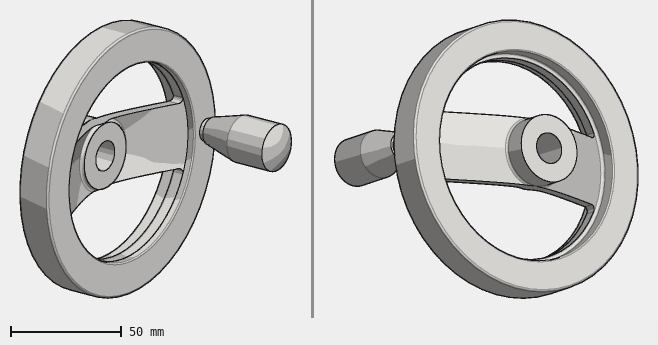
import cadquery as cq
import math

rim_radius = 125 / 2
rim_bore_radius = 96.4 / 2
rear_bore_radius = 92.6 / 2
rim_front = 17.1
rim_back = 33.5
rim_edge_fillet = 0.9
bore_edge_fillet = 0.6

hub_radius = 31.0 / 2
hub_bore_radius = 14.0 / 2
hub_back = 18.3
hub_fillet = 1.3

web_start = 10.7
web_slope = 0.445
web_thickness = 5.4
web_embed = 2.6
web_rim_fillet = 1.2

window_radius = 92.5 / 2
spoke_half_width = 15.6
window_corner_fillet = 1.9

web_rim_x = web_start + web_slope * (rim_bore_radius - hub_radius)
bore_step = web_rim_x + web_thickness / 2

overall_length = 76.0
overall_width = 128.8
grip_radius = 22.0 / 2
handle_y = overall_width - rim_radius - grip_radius
neck_radius = 10.5 / 2
neck_end = 36.2
taper_start_radius = 6.5
taper_end = 53.3
grip_end = 73.2
neck_embed = 2.6


def cylinder(radius, start, end):
    """Solid cylinder along X, centred on the wheel axis."""
    return cq.Workplane("YZ").workplane(offset=start).circle(radius).extrude(end - start)


def revolve_about_x(profile):
    """Revolve a closed (X, radius) profile about the X axis."""
    return profile.close().revolve(360, (0, 0, 0), (1, 0, 0))


def edges_between(start, end, margin):
    """Selector for edges lying wholly between two X positions."""
    return cq.selectors.BoxSelector(
        (start - margin, -rim_radius, -rim_radius),
        (end + margin, rim_radius, rim_radius),
        boundingbox=True,
    )


def make_rim():
    """Rim ring whose bore narrows behind the web."""
    rim = cylinder(rim_radius, rim_front, rim_back)
    rim = rim.faces("<X or >X").edges().fillet(rim_edge_fillet)
    rim = rim.cut(cylinder(rim_bore_radius, rim_front, bore_step))
    rim = rim.cut(cylinder(rear_bore_radius, rim_front, rim_back))
    inner_edge = cq.selectors.RadiusNthSelector(0)
    rim = rim.faces("<X").edges(inner_edge).fillet(bore_edge_fillet)
    return rim.faces(">X").edges(inner_edge).fillet(bore_edge_fillet)


def make_hub_and_web():
    """Hub with a conical web that reaches a little way into the rim."""
    web_end_radius = rim_bore_radius + web_embed
    web_end = web_start + web_slope * (web_end_radius - hub_radius)
    profile = (
        cq.Workplane("XY")
        .lineTo(0, hub_radius)
        .lineTo(web_start, hub_radius)
        .lineTo(web_end, web_end_radius)
        .lineTo(web_end + web_thickness, web_end_radius)
        .lineTo(web_start + web_thickness, hub_radius)
        .lineTo(hub_back, hub_radius)
        .lineTo(hub_back, 0)
    )
    body = revolve_about_x(profile)
    hub_roots = edges_between(web_start, web_start + web_thickness, 0.1)
    return body.edges(hub_roots).fillet(hub_fillet)


def fillet_web_at_rim(wheel):
    """Round the circle where the front of the web meets the rim bore."""
    web_rim_edge = edges_between(web_rim_x, web_rim_x, 0.3)
    return wheel.edges(web_rim_edge).edges("%CIRCLE").fillet(web_rim_fillet)


def make_window(side):
    """Cutter for the circular segment above (side=1) or below (side=-1) the spoke bar."""
    edge_y = math.sqrt(window_radius**2 - spoke_half_width**2)
    edge_z = side * spoke_half_width
    segment = (
        cq.Workplane("YZ")
        .moveTo(-edge_y, edge_z)
        .lineTo(edge_y, edge_z)
        .threePointArc((0, side * window_radius), (-edge_y, edge_z))
        .close()
        .extrude(rim_back)
    )
    return segment.edges("|X").fillet(window_corner_fillet)


def make_handle():
    """Turned crank handle with a neck, a taper, a straight grip and a domed end."""
    profile = (
        cq.Workplane("XY")
        .moveTo(rim_back - neck_embed, 0)
        .lineTo(rim_back - neck_embed, neck_radius)
        .lineTo(neck_end, neck_radius)
        .lineTo(neck_end, taper_start_radius)
        .lineTo(taper_end, grip_radius)
        .lineTo(grip_end, grip_radius)
    )
    dome_height = overall_length - grip_end
    dome_radius = (grip_radius**2 + dome_height**2) / (2 * dome_height)
    half_angle = math.asin(grip_radius / dome_radius) / 2
    mid_point = (
        overall_length - dome_radius * (1 - math.cos(half_angle)),
        dome_radius * math.sin(half_angle),
    )
    profile = profile.threePointArc(mid_point, (overall_length, 0))
    return revolve_about_x(profile).translate((0, handle_y, 0))


wheel = fillet_web_at_rim(make_hub_and_web().union(make_rim()))
for side in (1, -1):
    wheel = wheel.cut(make_window(side))
wheel = wheel.cut(cylinder(hub_bore_radius, 0, rim_back))
result = wheel.union(make_handle())